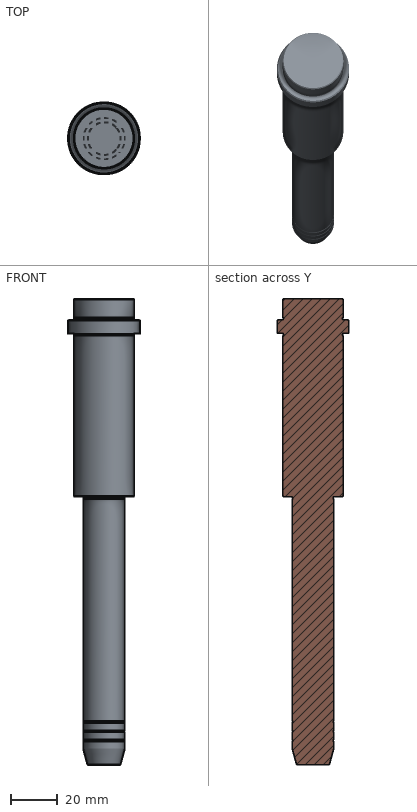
import cadquery as cq

total_height = 200.0
shoulder_z = 115.0
collar_bottom_z = 185.0
collar_top_z = 191.0

pin_diameter = 18.0
tip_diameter = 14.5
body_diameter = 26.0
collar_diameter = 31.0

head_chamfer = 0.5
shoulder_chamfer = 0.5
collar_chamfer = 0.5
tip_chamfer = 0.5

taper_height = 7.0

relief_width = 1.0
relief_depth = 0.3

groove_count = 3
groove_width = 1.0
groove_depth = 0.3
first_groove_z = 10.0
groove_pitch = 4.0


def cylinder(diameter, bottom_z, top_z):
    """Solid cylinder on the Z axis between two heights."""
    return cq.Workplane("XY").workplane(offset=bottom_z).circle(diameter / 2).extrude(top_z - bottom_z)


def ring_groove(diameter, depth, bottom_z, width):
    """Ring that cuts a V-shaped groove into a shaft of the given diameter."""
    radius = diameter / 2
    outline = [
        (radius, bottom_z),
        (radius - depth, bottom_z + width / 2),
        (radius, bottom_z + width),
    ]
    return cq.Workplane("XZ").polyline(outline).close().revolve(360, (0, 0), (0, 1))


def tapered_pin():
    """Pin with a tapered tip and a broken bottom edge."""
    pin_radius = pin_diameter / 2
    tip_radius = tip_diameter / 2
    outline = [
        (0, 0),
        (tip_radius - tip_chamfer, 0),
        (tip_radius, tip_chamfer),
        (pin_radius, taper_height),
        (pin_radius, shoulder_z),
        (0, shoulder_z),
    ]
    return cq.Workplane("XZ").polyline(outline).close().revolve(360, (0, 0), (0, 1))


def ring_grooved_pin():
    """Tapered pin with evenly spaced ring grooves above the tip and a relief groove below the shoulder."""
    pin = tapered_pin()
    for index in range(groove_count):
        groove_z = first_groove_z + index * groove_pitch
        pin = pin.cut(ring_groove(pin_diameter, groove_depth, groove_z, groove_width))
    return pin.cut(ring_groove(pin_diameter, relief_depth, shoulder_z - relief_width, relief_width))


def relieved_body():
    """Thick body with broken end edges and a relief groove on each side of the collar."""
    body = cylinder(body_diameter, shoulder_z, total_height)
    body = body.faces("<Z").chamfer(shoulder_chamfer)
    body = body.faces(">Z").chamfer(head_chamfer)
    for relief_z in (collar_bottom_z - relief_width, collar_top_z):
        body = body.cut(ring_groove(body_diameter, relief_depth, relief_z, relief_width))
    return body


def chamfered_collar():
    """Collar with a broken upper edge."""
    return cylinder(collar_diameter, collar_bottom_z, collar_top_z).faces(">Z").chamfer(collar_chamfer)


pin_and_body = ring_grooved_pin().union(relieved_body())
result = pin_and_body.union(chamfered_collar())